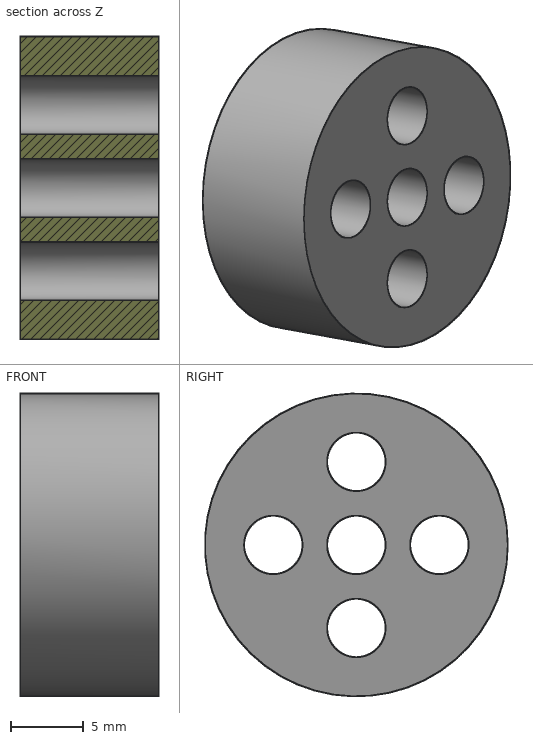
import cadquery as cq

disc_diameter = 20.8
disc_thickness = 9.5
hole_diameter = 4.0
hole_circle_radius = 5.7
outer_hole_count = 4

front_plane = cq.Workplane("YZ", origin=(-disc_thickness / 2, 0, 0))
disc = front_plane.circle(disc_diameter / 2).extrude(disc_thickness)

central_hole = front_plane.circle(hole_diameter / 2).extrude(disc_thickness)

outer_holes = (
    front_plane.polarArray(hole_circle_radius, 0, 360, outer_hole_count)
    .circle(hole_diameter / 2)
    .extrude(disc_thickness)
)

result = disc.cut(central_hole).cut(outer_holes)